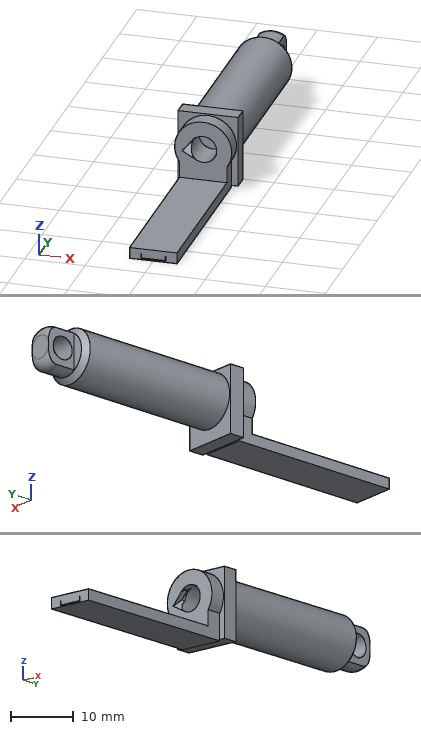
import cadquery as cq
import math

overall_height = 12.23

plate_width = 10.0
plate_height = 12.0
plate_thickness = 2.75
axis_height = overall_height - plate_width / 2

barrel_diameter = 9.5
barrel_length = 30.5
barrel_chamfer = 1.0

eye_length = 5.45
eye_diameter = 7.5
eye_thickness = 4.0
eye_end_radius = 1.75
eye_hole_diameter = 4.0
eye_hole_from_end = 3.0

foot_length = 2.8
foot_width = 7.9
tongue_length = 29.0
tongue_thickness = 1.9

bore_diameter = 4.5
bore_depth = foot_length + plate_thickness
notch_tip_distance = 3.55
notch_tip_angle = 191.0
notch_depth = 1.4
notch_wall_slope = 45.0

groove_span = 4.1
groove_bottom = overall_height - plate_height
groove_top = 1.0
groove_width = 0.06
groove_depth = 0.1

foot_front = tongue_length
plate_front = foot_front + foot_length
barrel_start = plate_front + plate_thickness
barrel_end = barrel_start + barrel_length
eye_end = barrel_end + eye_length


def rod(diameter, start, length):
    """Cylinder on the main axis, running towards +Y from the given station."""
    base = cq.Vector(0, start, axis_height)
    return cq.Workplane(cq.Solid.makeCylinder(diameter / 2, length, base, cq.Vector(0, 1, 0)))


def block(width, start, length, bottom, height):
    """Box centred on X = 0, from the given Y station and Z level."""
    box = cq.Workplane("XY").box(width, length, height, centered=(True, False, False))
    return box.translate((0, start, bottom))


def make_barrel():
    return rod(barrel_diameter, barrel_start, barrel_length).faces(">Y").chamfer(barrel_chamfer)


def make_eye():
    stub = rod(eye_diameter, barrel_end, eye_length).faces(">Y").edges().fillet(eye_end_radius)
    eye = stub.intersect(block(eye_thickness, barrel_end, eye_length, 0, overall_height))
    hole = (
        cq.Workplane("YZ")
        .center(eye_end - eye_hole_from_end, axis_height)
        .circle(eye_hole_diameter / 2)
        .extrude(eye_thickness, both=True)
    )
    return eye.cut(hole)


def make_foot():
    boss = rod(barrel_diameter, foot_front, foot_length)
    web = block(foot_width, foot_front, foot_length, 0, axis_height)
    tongue = block(foot_width, 0, tongue_length, 0, tongue_thickness)
    return boss.union(web).union(tongue)


def make_notch():
    """Slanted prism; its sides are tangent to the bore on the front face and meet at the notch tip."""
    bore_radius = bore_diameter / 2
    half_opening = math.degrees(math.asin(bore_radius / notch_tip_distance))
    side_length = math.sqrt(notch_tip_distance**2 - bore_radius**2)
    towards_bore = notch_tip_angle - 180
    lower_side_angle = towards_bore - half_opening
    upper_side_angle = towards_bore + half_opening

    def across(length, angle):
        """Vector in the XZ plane, at the given angle from +X towards +Z."""
        return cq.Vector(length * math.cos(math.radians(angle)), 0, length * math.sin(math.radians(angle)))

    tip = cq.Vector(0, foot_front, axis_height) + across(notch_tip_distance, notch_tip_angle)
    corners = [tip, tip + across(side_length, lower_side_angle), tip + across(side_length, upper_side_angle)]
    outline = cq.Wire.makePolygon(corners, close=True)
    lean = notch_depth * math.tan(math.radians(notch_wall_slope))
    sweep = cq.Vector(0, notch_depth, 0) + across(lean, lower_side_angle + 90)
    return cq.Workplane(cq.Solid.extrudeLinear(outline, [], sweep))


def make_groove():
    """Thin U-shaped channel cut into the end face of the tongue."""
    height = groove_top - groove_bottom
    outer = block(groove_span, 0, groove_depth, groove_bottom, height)
    inner = block(groove_span - 2 * groove_width, 0, groove_depth, groove_bottom + groove_width, height)
    return outer.cut(inner)


plate = block(plate_width, plate_front, plate_thickness, overall_height - plate_height, plate_height)
bore = rod(bore_diameter, foot_front, bore_depth)
result = (
    make_foot()
    .union(plate)
    .union(make_barrel())
    .union(make_eye())
    .cut(bore)
    .cut(make_notch())
    .cut(make_groove())
)